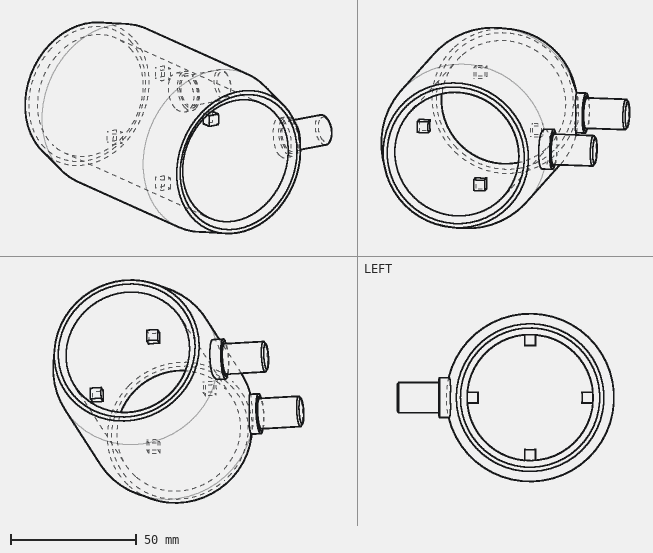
import cadquery as cq

length = 111.0
total_width = 86.5
sleeve_diameter = 66.9
sleeve_radius = sleeve_diameter / 2
end_radius = 29.4
taper_length = length / 6
bore_radius = 25.1
mouth_radius = 27.8
mouth_depth = 2.3

terminal_tip = total_width - sleeve_radius
pin_radius = 6.1
pin_chamfer_drop = 0.8
collar_radius = 8.0
collar_top = 36.4
collar_chamfer_drop = 0.3
chamfer_inset = 1.0
terminal_x = length / 2 - taper_length
root_y = (bore_radius + end_radius) / 2

stop_count = 4
stop_width = 4.4
stop_tip_radius = 20.8


def make_sleeve():
    half = length / 2
    profile = [
        (-half, mouth_radius),
        (-half, end_radius),
        (-half + taper_length, sleeve_radius),
        (half - taper_length, sleeve_radius),
        (half, end_radius),
        (half, mouth_radius),
        (half - mouth_depth, bore_radius),
        (-half + mouth_depth, bore_radius),
    ]
    return cq.Workplane("XY").polyline(profile).close().revolve(360, (0, 0, 0), (1, 0, 0))


def make_terminal(x):
    profile = [
        (0, root_y),
        (collar_radius, root_y),
        (collar_radius, collar_top - collar_chamfer_drop),
        (collar_radius - chamfer_inset, collar_top),
        (pin_radius, collar_top),
        (pin_radius, terminal_tip - pin_chamfer_drop),
        (pin_radius - chamfer_inset, terminal_tip),
        (0, terminal_tip),
    ]
    terminal = cq.Workplane("XY").polyline(profile).close().revolve(360, (0, 0, 0), (0, 1, 0))
    return terminal.translate((x, 0, 0))


def make_stops():
    outer_radius = (bore_radius + sleeve_radius) / 2
    bar = cq.Workplane("XY").rect(stop_width, stop_width).extrude(outer_radius)
    stops = bar
    for i in range(1, stop_count):
        stops = stops.union(bar.rotate((0, 0, 0), (1, 0, 0), i * 360 / stop_count))
    passage = cq.Workplane("YZ").circle(stop_tip_radius).extrude(stop_width, both=True)
    return stops.cut(passage)


result = make_sleeve().union(make_stops())
for side in (-1, 1):
    result = result.union(make_terminal(side * terminal_x))